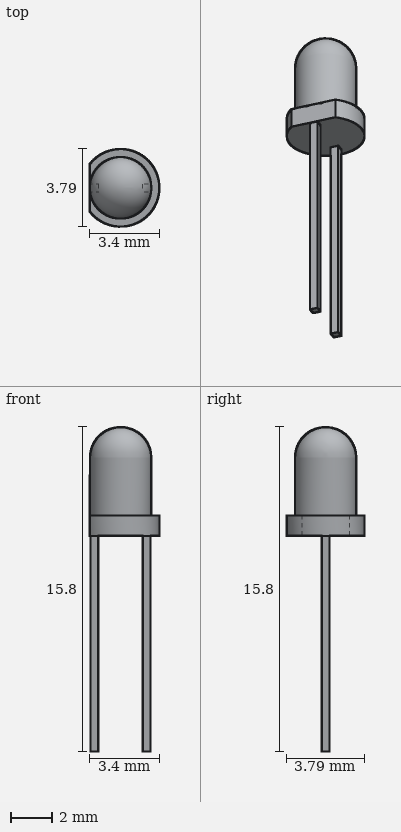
import cadquery as cq

lens_diameter = 3.0
flange_diameter = 3.79
flange_height = 1.0
lead_length = 10.5
lead_width = 0.4
lead_spacing = 2.55
total_height = 15.8

lens_radius = lens_diameter / 2
flange_radius = flange_diameter / 2
flat_distance = lens_radius
dome_base = total_height - lead_length - lens_radius
dome_top = dome_base + lens_radius


def make_flange():
    """Round flange with one flat on its -X side."""
    disc = cq.Workplane("XY").circle(flange_radius).extrude(flange_height)
    keep_box = (
        cq.Workplane("XY")
        .box(flat_distance + flange_radius, flange_diameter, flange_height, centered=(False, True, False))
        .translate((-flat_distance, 0, 0))
    )
    return disc.intersect(keep_box)


def make_lens():
    """Cylinder with a hemispherical top, revolved about Z."""
    dome_middle = lens_radius * 0.5**0.5
    return (
        cq.Workplane("XZ")
        .moveTo(0, flange_height)
        .lineTo(lens_radius, flange_height)
        .lineTo(lens_radius, dome_base)
        .threePointArc((dome_middle, dome_base + dome_middle), (0, dome_top))
        .close()
        .revolve(360, (0, 0, 0), (0, 1, 0))
    )


def make_leads():
    """Two equal square leads hanging from the flange."""
    return (
        cq.Workplane("XY")
        .pushPoints([(-lead_spacing / 2, 0), (lead_spacing / 2, 0)])
        .rect(lead_width, lead_width)
        .extrude(-lead_length)
    )


result = make_flange().union(make_lens()).union(make_leads())